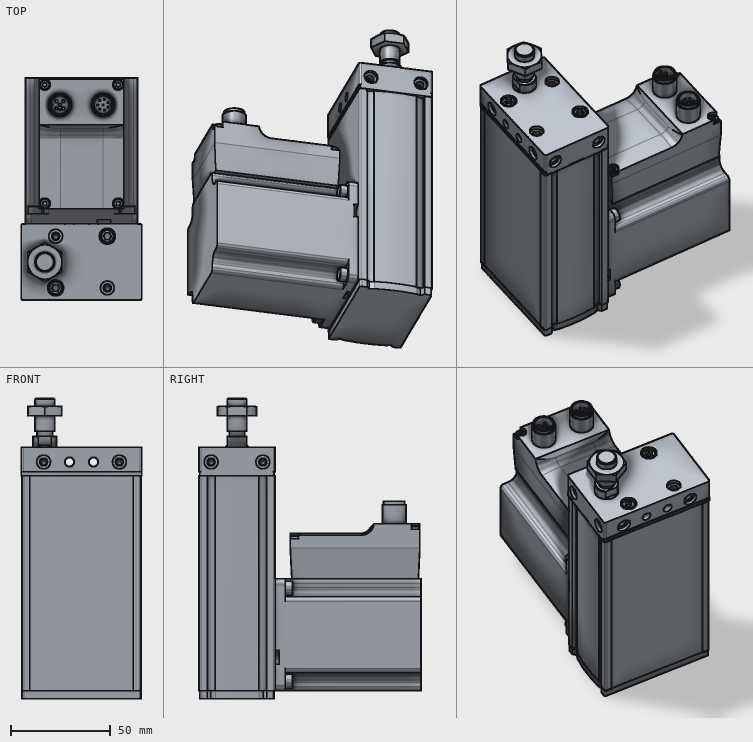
import cadquery as cq
import math


TUBE_HALF_WIDTH = 29.9
TUBE_HALF_DEPTH = 19.2
TUBE_TOP = 112.0
TUBE_CORNER_RADIUS = 0.9
CAP_HEIGHT = 4.1
CAP_HALF_DEPTH = 18.7
PANEL_HALF_WIDTH = 26.1
PANEL_DEPTH = 0.3
BELLY_HALF_LENGTH = 11.0
BELLY_DROP = 0.8
TUBE_GROOVE = [(0, 15.0), (2.3, 15.0), (2.3, 14.3), (1.4, 11.3), (1.4, BELLY_HALF_LENGTH)]
CAP_GROOVE = [(0, 15.0), (1.7, 13.3)]

HEAD_HALF_WIDTH = 30.4
HEAD_TOP = 126.4
LIP_HEIGHT = 2.1
LIP_HALF_DEPTH = CAP_HALF_DEPTH
HEAD_CORNER_RADIUS = 1.0
SIDE_HOLE_LEVEL = 119.0
FRONT_THREAD_X = 19.0
THROUGH_HOLE_X = 6
THROUGH_HOLE_DIAMETER = 4.5
BOLT_SQUARE_HALF = 13.0
CLAMP_SCREW_PLACES = [(-BOLT_SQUARE_HALF, -BOLT_SQUARE_HALF), (BOLT_SQUARE_HALF, BOLT_SQUARE_HALF)]
TOP_THREAD_PLACES = [(-BOLT_SQUARE_HALF, BOLT_SQUARE_HALF), (BOLT_SQUARE_HALF, -BOLT_SQUARE_HALF)]
SPOTFACE_DIAMETER = 7.0
SPOTFACE_DEPTH = 2.0
THREAD_DIAMETER = 4.0
THREAD_DEPTH = 6
DRILL_DIAMETER = 3.2
DRILL_DEPTH = 7.0
DRILL_TIP_DEPTH = 7.9

COUNTERBORE_DIAMETER = 8.0
COUNTERBORE_DEPTH = 5.0
CLAMP_HEAD_DIAMETER = 7.0
CLAMP_HEAD_HEIGHT = 4.5
CLAMP_HEAD_CHAMFER = 0.5
CLAMP_SHANK_DIAMETER = 4.5
CLAMP_SOCKET_DIAMETER = 4.0
CLAMP_SOCKET_DEPTH = 2.0
CLAMP_TIP = 104.2

ROD_X = -18.4
ROD_END = 151
ROD_DIAMETER = 10.0
ROD_CHAMFER = 0.6
THREAD_START = 134.5
NECK_DIAMETER = 8.0
COLLAR_TOP = 132.0
COLLAR_DIAMETER = 12.0
COLLAR_CHAMFER = 0.3
FLATS_BOTTOM = 127.3
NUT_BOTTOM = 142.1
NUT_HEIGHT = 5.0
NUT_ACROSS_FLATS = 17.0
NUT_CHAMFER_HEIGHT = 0.5
NUT_CHAMFER_WIDTH = 1.2

MOTOR_HALF = 28.2
MOTOR_CENTRE_Z = 32.2
MOTOR_REAR = 92.5
FLANGE_FRONT = TUBE_HALF_DEPTH
FLANGE_REAR = 24.2
FLANGE_CORNER_RADIUS = 3
SCOOP_DEPTH = 9.2
SCOOP_CENTRE = 4.4
SCOOP_EDGE_RADIUS = 2.3
MOUNT_BOLT_INSET = 4.8
MOUNT_BOLT_DIAMETER = 7.0
MOUNT_BOLT_HEIGHT = 4.0
MOUNT_BOLT_CHAMFER = 0.3
POCKET_OFFSET = 11.3
POCKET_DIAMETER = 7.0
POCKET_DEPTH = 2.1

BOX_HALF_WIDTH = 21.1
BOX_FRONT = 26.7
BOX_REAR = 92.0
BOX_TAPER = 0.8
BOX_TAPER_TOP = 75.8
BOX_TOP = 88.0
LOW_TOP = 83.2
LOW_FLAT_HALF_WIDTH = 10.7
LOW_EDGE_DROP = 1.0
RAMP_START = 62.4
RAMP_RADIUS = 5.5
RAMP_TOP = 69.0
RAMP_SLOPE_WIDTH = 2.0
RAMP_SLOPE_HEIGHT = 2.1
COVER_SCREW_X = 18.4
COVER_SCREW_REAR_Y = 89.1
COVER_SCREW_FRONT_Y = 29.5
COVER_RECESS_DIAMETER = 5.5
COVER_RECESS_DEPTH = 2.9
COVER_RECESS_SIDE = 1.4
COVER_HEAD_DIAMETER = 5.0
COVER_HEAD_HEIGHT = 1.7
COVER_HEAD_CHAMFER = 0.3
COVER_SOCKET_DIAMETER = 2.4
COVER_SOCKET_DEPTH = 1.0

PLUG_X = 10.9
PLUG_Y = 79.0
PLUG_DIAMETER = 12.0
PLUG_SHOULDER = 97.5
PLUG_COLLAR_DIAMETER = 10.7
PLUG_TOP = 99.4
PLUG_BORE_DIAMETER = 9
PLUG_BORE_DEPTH = 6.8
PIN_HEIGHT = 4.5
THICK_PIN_DIAMETER = 1.5
THICK_PIN_OFFSET = 1.8
THIN_PIN_DIAMETER = 0.8
THIN_PIN_RADIUS = 2.7
THIN_PIN_COUNT = 7
GROUND_PIN_Y = -2.3
KEY_RADIUS = 4.4


def cylinder(diameter, bottom, top, x=0, y=0):
    """Upright cylinder between two levels."""
    return cq.Workplane("XY", origin=(x, y, bottom)).circle(diameter / 2).extrude(top - bottom)


def hexagon(corner_diameter, bottom, top, x=0, y=0, turn=90):
    """Upright hexagonal prism; turn is the angle of one of its corners from +X."""
    prism = cq.Workplane("XY").polygon(6, corner_diameter).extrude(top - bottom)
    return prism.rotate((0, 0, 0), (0, 0, 1), turn).translate((x, y, bottom))


def block(half_width, front, rear, bottom, top):
    """Box centred on X = 0."""
    outline = cq.Workplane("XY", origin=(0, 0, bottom)).center(0, (front + rear) / 2)
    return outline.rect(2 * half_width, rear - front).extrude(top - bottom)


def housing_section(half_depth, groove, bottom, top):
    """Extrusion with a grooved, bulging wall on its -X and +X sides."""
    belly = (BELLY_DROP, BELLY_HALF_LENGTH)
    upper = [(depth - TUBE_HALF_WIDTH, y) for depth, y in [*groove, belly]]
    lower = [(x, -y) for x, y in reversed(upper)]
    right_lower = [(-x, y) for x, y in reversed(lower)]
    right_upper = [(-x, y) for x, y in reversed(upper)]
    outline = (
        cq.Workplane("XY", origin=(0, 0, bottom))
        .moveTo(-TUBE_HALF_WIDTH, half_depth)
    )
    for point in upper:
        outline = outline.lineTo(*point)
    outline = outline.threePointArc((-TUBE_HALF_WIDTH, 0), lower[0])
    front_corners = [(-TUBE_HALF_WIDTH, -half_depth), (TUBE_HALF_WIDTH, -half_depth)]
    for point in [*lower[1:], *front_corners, *right_lower]:
        outline = outline.lineTo(*point)
    outline = outline.threePointArc((TUBE_HALF_WIDTH, 0), right_upper[0])
    for point in [*right_upper[1:], (TUBE_HALF_WIDTH, half_depth)]:
        outline = outline.lineTo(*point)
    section = outline.close().extrude(top - bottom)
    rounded = block(TUBE_HALF_WIDTH, -half_depth, half_depth, bottom, top)
    rounded = rounded.edges("|Z").fillet(TUBE_CORNER_RADIUS)
    return section.intersect(rounded)


def make_tube():
    tube = housing_section(TUBE_HALF_DEPTH, TUBE_GROOVE, CAP_HEIGHT, TUBE_TOP)
    panel = block(PANEL_HALF_WIDTH, -TUBE_HALF_DEPTH, PANEL_DEPTH - TUBE_HALF_DEPTH, CAP_HEIGHT, TUBE_TOP)
    tube = tube.cut(panel)
    for x, y in CLAMP_SCREW_PLACES:
        tube = tube.cut(cylinder(CLAMP_SHANK_DIAMETER, CLAMP_TIP, TUBE_TOP, x, y))
    return tube


def make_end_cap():
    return housing_section(CAP_HALF_DEPTH, CAP_GROOVE, 0, CAP_HEIGHT)


def threaded_hole(mouth, direction):
    """Cutter for a spot-faced blind hole with a conical drill tip."""
    outline = [
        (0, 0),
        (SPOTFACE_DIAMETER / 2, 0),
        (SPOTFACE_DIAMETER / 2, SPOTFACE_DEPTH),
        (THREAD_DIAMETER / 2, SPOTFACE_DEPTH),
        (THREAD_DIAMETER / 2, THREAD_DEPTH),
        (DRILL_DIAMETER / 2, THREAD_DEPTH),
        (DRILL_DIAMETER / 2, DRILL_DEPTH),
        (0, DRILL_TIP_DEPTH),
    ]
    plane = cq.Plane(origin=mouth, normal=direction)
    cutter = cq.Workplane("XZ").polyline(outline).close().revolve(360, (0, 0, 0), (0, 1, 0))
    return cq.Workplane(cutter.val().moved(cq.Location(plane)))


def make_head():
    lip_top = TUBE_TOP + LIP_HEIGHT
    head = block(HEAD_HALF_WIDTH, -TUBE_HALF_DEPTH, TUBE_HALF_DEPTH, lip_top, HEAD_TOP)
    head = head.edges("|Z").fillet(HEAD_CORNER_RADIUS)
    head = head.union(block(HEAD_HALF_WIDTH, -LIP_HALF_DEPTH, LIP_HALF_DEPTH, TUBE_TOP, lip_top))
    head = head.cut(cylinder(COLLAR_DIAMETER, TUBE_TOP, HEAD_TOP, ROD_X))
    for x in (-THROUGH_HOLE_X, THROUGH_HOLE_X):
        hole = cq.Workplane("XZ", origin=(x, 0, SIDE_HOLE_LEVEL)).circle(THROUGH_HOLE_DIAMETER / 2)
        head = head.cut(hole.extrude(TUBE_HALF_DEPTH, both=True))
    for x, y in CLAMP_SCREW_PLACES:
        head = head.cut(cylinder(CLAMP_SHANK_DIAMETER, TUBE_TOP, HEAD_TOP, x, y))
        head = head.cut(cylinder(COUNTERBORE_DIAMETER, HEAD_TOP - COUNTERBORE_DEPTH, HEAD_TOP, x, y))
    for x, y in TOP_THREAD_PLACES:
        head = head.cut(threaded_hole((x, y, HEAD_TOP), (0, 0, -1)))
    for x in (-FRONT_THREAD_X, FRONT_THREAD_X):
        head = head.cut(threaded_hole((x, -TUBE_HALF_DEPTH, SIDE_HOLE_LEVEL), (0, 1, 0)))
    for side in (-1, 1):
        for y in (-BOLT_SQUARE_HALF, BOLT_SQUARE_HALF):
            mouth = (side * HEAD_HALF_WIDTH, y, SIDE_HOLE_LEVEL)
            head = head.cut(threaded_hole(mouth, (-side, 0, 0)))
    return head


def make_clamp_screw(x, y):
    """Socket-head screw that holds the head block on the tube."""
    head_bottom = HEAD_TOP - COUNTERBORE_DEPTH
    head_top = head_bottom + CLAMP_HEAD_HEIGHT
    screw = cylinder(CLAMP_HEAD_DIAMETER, head_bottom, head_top, x, y)
    screw = screw.faces(">Z").edges().chamfer(CLAMP_HEAD_CHAMFER)
    screw = screw.union(cylinder(CLAMP_SHANK_DIAMETER, CLAMP_TIP, head_bottom, x, y))
    socket = hexagon(CLAMP_SOCKET_DIAMETER, head_top - CLAMP_SOCKET_DEPTH, head_top, x, y, turn=0)
    return screw.cut(socket)


def make_rod():
    """Rod with a collar, wrench flats facing -Y and +Y, a neck and a threaded end."""
    collar = cylinder(COLLAR_DIAMETER, TUBE_TOP, COLLAR_TOP, ROD_X)
    collar = collar.faces(">Z").edges().chamfer(COLLAR_CHAMFER)
    flat = ROD_DIAMETER / 2
    outside = COLLAR_DIAMETER / 2
    run_out = FLATS_BOTTOM - (outside - flat)
    for side in (-1, 1):
        outline = [
            (side * flat, COLLAR_TOP),
            (side * flat, FLATS_BOTTOM),
            (side * outside, run_out),
            (side * outside, COLLAR_TOP),
        ]
        cutter = cq.Workplane("YZ", origin=(ROD_X, 0, 0)).polyline(outline).close()
        collar = collar.cut(cutter.extrude(outside, both=True))
    neck = cylinder(NECK_DIAMETER, COLLAR_TOP, THREAD_START, ROD_X)
    thread = cylinder(ROD_DIAMETER, THREAD_START, ROD_END, ROD_X)
    thread = thread.faces(">Z").edges().chamfer(ROD_CHAMFER)
    return collar.union(neck).union(thread)


def make_nut():
    corner_diameter = NUT_ACROSS_FLATS / math.cos(math.radians(30))
    nut_top = NUT_BOTTOM + NUT_HEIGHT
    blank = cylinder(corner_diameter, NUT_BOTTOM, nut_top, ROD_X)
    blank = blank.faces(">Z").edges().chamfer(NUT_CHAMFER_HEIGHT, NUT_CHAMFER_WIDTH)
    nut = hexagon(corner_diameter, NUT_BOTTOM, nut_top, ROD_X).intersect(blank)
    return nut.cut(cylinder(ROD_DIAMETER, NUT_BOTTOM, nut_top, ROD_X))


def motor_section(rear):
    """Sketch plane square to the motor shaft; extrusions run towards -Y."""
    return cq.Workplane("XZ", origin=(0, rear, MOTOR_CENTRE_Z))


def around_motor(body, quarter):
    """Body turned about the motor shaft by a number of quarter turns."""
    axis_start = (0, 0, MOTOR_CENTRE_Z)
    axis_end = (0, 1, MOTOR_CENTRE_Z)
    return body.rotate(axis_start, axis_end, 90 * quarter)


def corner_scoop():
    """Cutter for one motor corner: concave bolt clearance with rounded edges."""
    side = MOTOR_HALF
    rim = side - SCOOP_DEPTH - SCOOP_EDGE_RADIUS
    wall = side - SCOOP_DEPTH
    lip = side - SCOOP_EDGE_RADIUS
    centre = side - SCOOP_CENTRE
    scoop_mid = centre - (SCOOP_DEPTH - SCOOP_CENTRE) * math.sqrt(0.5)
    edge_shift = SCOOP_EDGE_RADIUS * math.sqrt(0.5)
    return (
        motor_section(MOTOR_REAR)
        .moveTo(side, side)
        .lineTo(rim, side)
        .threePointArc((rim + edge_shift, lip + edge_shift), (wall, lip))
        .lineTo(wall, centre)
        .threePointArc((scoop_mid, scoop_mid), (centre, wall))
        .lineTo(lip, wall)
        .threePointArc((lip + edge_shift, rim + edge_shift), (side, rim))
        .close()
        .extrude(MOTOR_REAR - FLANGE_REAR)
    )


def mount_bolt():
    place = MOTOR_HALF - MOUNT_BOLT_INSET
    bolt = motor_section(FLANGE_REAR + MOUNT_BOLT_HEIGHT).center(place, place)
    bolt = bolt.circle(MOUNT_BOLT_DIAMETER / 2).extrude(MOUNT_BOLT_HEIGHT)
    return bolt.faces(">Y").edges().chamfer(MOUNT_BOLT_CHAMFER)


def flange_pocket():
    """Cutter for a round pocket in the flange's front face that opens through its edge."""
    pocket = motor_section(FLANGE_FRONT + POCKET_DEPTH).center(POCKET_OFFSET, MOTOR_HALF)
    return pocket.circle(POCKET_DIAMETER / 2).extrude(POCKET_DEPTH)


def make_motor_body():
    side = 2 * MOTOR_HALF
    flange = motor_section(FLANGE_REAR).rect(side, side).extrude(FLANGE_REAR - FLANGE_FRONT)
    flange = flange.edges("|Y").fillet(FLANGE_CORNER_RADIUS)
    body = motor_section(MOTOR_REAR).rect(side, side).extrude(MOTOR_REAR - FLANGE_REAR)
    for quarter in range(4):
        body = body.cut(around_motor(corner_scoop(), quarter))
        flange = flange.cut(around_motor(flange_pocket(), quarter))
    motor = body.union(flange)
    for quarter in range(4):
        motor = motor.union(around_motor(mount_bolt(), quarter))
    return motor


def low_top_cutters():
    """Cutters for the low part of the cover, crowned across X, for its rear ramp and the ramp rim."""
    half_round = BOX_HALF_WIDTH - LOW_FLAT_HALF_WIDTH
    round_radius = (half_round**2 + LOW_EDGE_DROP**2) / (2 * LOW_EDGE_DROP)
    middle = half_round / 2
    middle_drop = round_radius - math.sqrt(round_radius**2 - middle**2)
    middle_x = LOW_FLAT_HALF_WIDTH + middle
    edge_z = LOW_TOP - LOW_EDGE_DROP
    hinge_z = LOW_TOP + RAMP_RADIUS
    plane = cq.Workplane("XZ", origin=(0, RAMP_START, 0))
    section = (
        plane
        .moveTo(-BOX_HALF_WIDTH, hinge_z)
        .lineTo(-BOX_HALF_WIDTH, edge_z)
        .threePointArc((-middle_x, LOW_TOP - middle_drop), (-LOW_FLAT_HALF_WIDTH, LOW_TOP))
        .lineTo(LOW_FLAT_HALF_WIDTH, LOW_TOP)
        .threePointArc((middle_x, LOW_TOP - middle_drop), (BOX_HALF_WIDTH, edge_z))
        .lineTo(BOX_HALF_WIDTH, hinge_z)
        .close()
        .val()
    )
    straight = plane.newObject([section]).toPending().extrude(RAMP_START - BOX_FRONT)
    ramp = plane.newObject([section]).toPending().revolve(90, (-1.5, hinge_z, 0), (1.5, hinge_z, 0))
    slope_outline = [
        (RAMP_TOP, BOX_TOP),
        (RAMP_TOP - RAMP_SLOPE_WIDTH, BOX_TOP - RAMP_SLOPE_HEIGHT),
        (RAMP_TOP - RAMP_SLOPE_WIDTH, BOX_TOP),
    ]
    slope = cq.Workplane("YZ").polyline(slope_outline).close().extrude(BOX_HALF_WIDTH, both=True)
    return straight, ramp, slope


def add_cover_screw(box, side, y, surface, outward):
    """Sink one cover screw in a recess that is open at the corner of the box."""
    x = side * COVER_SCREW_X
    floor = surface - COVER_RECESS_DEPTH
    head_top = floor + COVER_HEAD_HEIGHT
    reach = COVER_RECESS_DIAMETER
    corner = cq.Workplane("XY").rect(reach, reach).extrude(COVER_RECESS_DEPTH)
    shift = reach / 2 - COVER_RECESS_SIDE
    corner = corner.translate((x + side * shift, y + outward * shift, floor))
    box = box.cut(corner).cut(cylinder(COVER_RECESS_DIAMETER, floor, surface, x, y))
    head = cylinder(COVER_HEAD_DIAMETER, floor, head_top, x, y)
    head = head.faces(">Z").edges().chamfer(COVER_HEAD_CHAMFER)
    head = head.cut(hexagon(COVER_SOCKET_DIAMETER, head_top - COVER_SOCKET_DEPTH, head_top, x, y))
    return box.union(head)


def make_controller_box():
    base_z = MOTOR_CENTRE_Z + MOTOR_HALF
    length = BOX_REAR - BOX_FRONT
    lower = (
        cq.Workplane("XY", origin=(0, (BOX_FRONT + BOX_REAR) / 2, base_z))
        .rect(2 * (BOX_HALF_WIDTH - BOX_TAPER), length - 2 * BOX_TAPER)
        .workplane(offset=BOX_TAPER_TOP - base_z)
        .rect(2 * BOX_HALF_WIDTH, length)
        .loft()
    )
    box = lower.union(block(BOX_HALF_WIDTH, BOX_FRONT, BOX_REAR, BOX_TAPER_TOP, BOX_TOP))
    for cutter in low_top_cutters():
        box = box.cut(cutter)
    for side in (-1, 1):
        box = add_cover_screw(box, side, COVER_SCREW_REAR_Y, BOX_TOP, 1)
        box = add_cover_screw(box, side, COVER_SCREW_FRONT_Y, LOW_TOP, -1)
    return box


def make_plug(x, pins, key_side):
    """Plug shell with pins given as (diameter, x, y) and a key rib on one side of its bore."""
    floor = PLUG_TOP - PLUG_BORE_DEPTH
    plug = cylinder(PLUG_DIAMETER, BOX_TOP, PLUG_SHOULDER, x, PLUG_Y)
    plug = plug.union(cylinder(PLUG_COLLAR_DIAMETER, PLUG_SHOULDER, PLUG_TOP, x, PLUG_Y))
    plug = plug.cut(cylinder(PLUG_BORE_DIAMETER, floor, PLUG_TOP, x, PLUG_Y))
    key_x = x + key_side * KEY_RADIUS
    plug = plug.union(cylinder(THICK_PIN_DIAMETER, floor, PLUG_SHOULDER, key_x, PLUG_Y))
    for diameter, pin_x, pin_y in pins:
        plug = plug.union(cylinder(diameter, floor, floor + PIN_HEIGHT, x + pin_x, PLUG_Y + pin_y))
    return plug


def power_pins():
    """Four thick pins round a middle one, and a thin pin between two of them."""
    offsets = (-THICK_PIN_OFFSET, THICK_PIN_OFFSET)
    pins = [(THICK_PIN_DIAMETER, x, y) for x in offsets for y in offsets]
    return [*pins, (THICK_PIN_DIAMETER, 0, 0), (THIN_PIN_DIAMETER, 0, GROUND_PIN_Y)]


def signal_pins():
    """A ring of thin pins round a middle one."""
    pins = [(THIN_PIN_DIAMETER, 0, 0)]
    for index in range(THIN_PIN_COUNT):
        angle = math.pi + 2 * math.pi * index / THIN_PIN_COUNT
        x = THIN_PIN_RADIUS * math.cos(angle)
        y = THIN_PIN_RADIUS * math.sin(angle)
        pins.append((THIN_PIN_DIAMETER, x, y))
    return pins


def make_motor():
    """Motor with its controller housing and plug connectors, as one body."""
    motor = make_motor_body().union(make_controller_box())
    motor = motor.union(make_plug(-PLUG_X, power_pins(), -1))
    return motor.union(make_plug(PLUG_X, signal_pins(), 1))


tube = make_tube()
end_cap = make_end_cap()
head = make_head()
rod = make_rod()
nut = make_nut()
motor = make_motor()
clamp_screws = [make_clamp_screw(x, y) for x, y in CLAMP_SCREW_PLACES]

result = cq.Compound.makeCompound([
    tube.val(),
    end_cap.val(),
    head.val(),
    rod.val(),
    nut.val(),
    motor.val(),
    *[screw.val() for screw in clamp_screws],
])